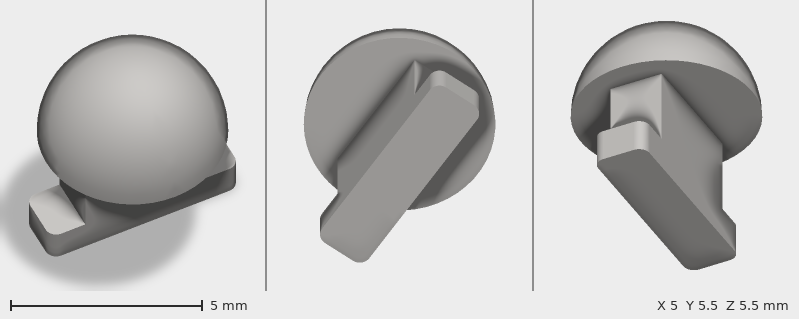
import cadquery as cq

total_height = 5.5
dome_diameter = 5.0
foot_length = 5.5
stem_length = 3.5
blade_thickness = 1.5
foot_height = 0.9
foot_corner_radius = 0.3

dome_radius = dome_diameter / 2
dome_base_z = total_height - dome_radius


def make_foot():
    """Flat bar with rounded vertical corners, resting on Z = 0."""
    bar = cq.Workplane("XY").rect(blade_thickness, foot_length).extrude(foot_height)
    return bar.edges("|Z").fillet(foot_corner_radius)


def make_stem():
    """Rectangular stem from the underside of the foot up to the dome."""
    return cq.Workplane("XY").rect(blade_thickness, stem_length).extrude(dome_base_z)


def make_dome():
    """Solid hemisphere with its flat face down, on top of the stem."""
    return (
        cq.Workplane("XY", origin=(0, 0, dome_base_z))
        .sphere(dome_radius, angle1=0, angle2=90)
    )


result = make_foot().union(make_stem()).union(make_dome())